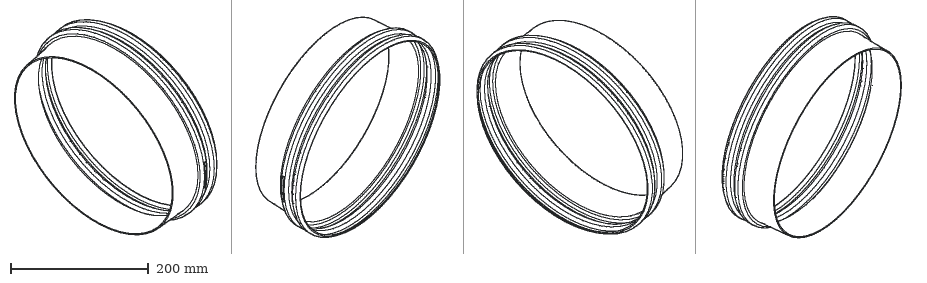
import cadquery as cq
import math

bead_diameter = 326.0
groove_diameter = 317.5
skirt_top_diameter = 309.2
skirt_end_diameter = 304.0
wall = 2.0
length = 89.0
skirt_length = 52.0
flank_length = 5.0
crest_width = 6.0

pad_height = 0.5
pad_width = 3.3
pad_chord = 50.3

bead_radius = bead_diameter / 2
groove_radius = groove_diameter / 2
skirt_top_radius = skirt_top_diameter / 2
skirt_end_radius = skirt_end_diameter / 2

rim_y = length / 2
skirt_end_y = -length / 2
shoulder_y = skirt_end_y + skirt_length
bead_length = crest_width + 2 * flank_length
lower_bead_y = shoulder_y
upper_bead_y = rim_y - bead_length

flank_slope = (bead_radius - groove_radius) / flank_length
bend_shift = wall * math.tan(math.atan(flank_slope) / 2)


def bead_points(foot_y, inset, shift):
    """Trapezoidal bead from foot_y towards +Y, with radii reduced by inset and bends moved in by shift."""
    foot = groove_radius - inset
    crest = bead_radius - inset
    return [
        (foot, foot_y + shift),
        (crest, foot_y + flank_length + shift),
        (crest, foot_y + flank_length + crest_width - shift),
        (foot, foot_y + bead_length - shift),
    ]


def wall_profile():
    """Closed half section (radius, y) of the thin beaded wall."""
    outer = [(skirt_end_radius, skirt_end_y), (skirt_top_radius, shoulder_y)]
    outer += bead_points(lower_bead_y, 0, 0)
    outer += bead_points(upper_bead_y, 0, 0)

    inner_shoulder_y = shoulder_y + wall
    inner_shoulder_radius = groove_radius - wall + (wall - bend_shift) * flank_slope
    inner = [
        (skirt_end_radius - wall, skirt_end_y),
        (skirt_top_radius - wall, inner_shoulder_y),
        (inner_shoulder_radius, inner_shoulder_y),
    ]
    inner += bead_points(lower_bead_y, wall, bend_shift)[1:]
    inner += bead_points(upper_bead_y, wall, bend_shift)

    return outer + inner[::-1]


def crest_pad():
    """Raised pad following the lower bead crest, centred on the +X direction."""
    pad_angle = 2 * math.degrees(math.asin(pad_chord / bead_diameter))
    crest_middle_y = lower_bead_y + bead_length / 2
    root_radius = bead_radius - wall / 2
    top_radius = bead_radius + pad_height
    pad = (
        cq.Workplane("XY")
        .moveTo((root_radius + top_radius) / 2, crest_middle_y)
        .rect(top_radius - root_radius, pad_width)
        .revolve(pad_angle, (0, 0, 0), (0, 1, 0))
    )
    return pad.rotate((0, 0, 0), (0, 1, 0), -pad_angle / 2)


beaded_ring = cq.Workplane("XY").polyline(wall_profile()).close().revolve(360, (0, 0, 0), (0, 1, 0))
result = beaded_ring.union(crest_pad())